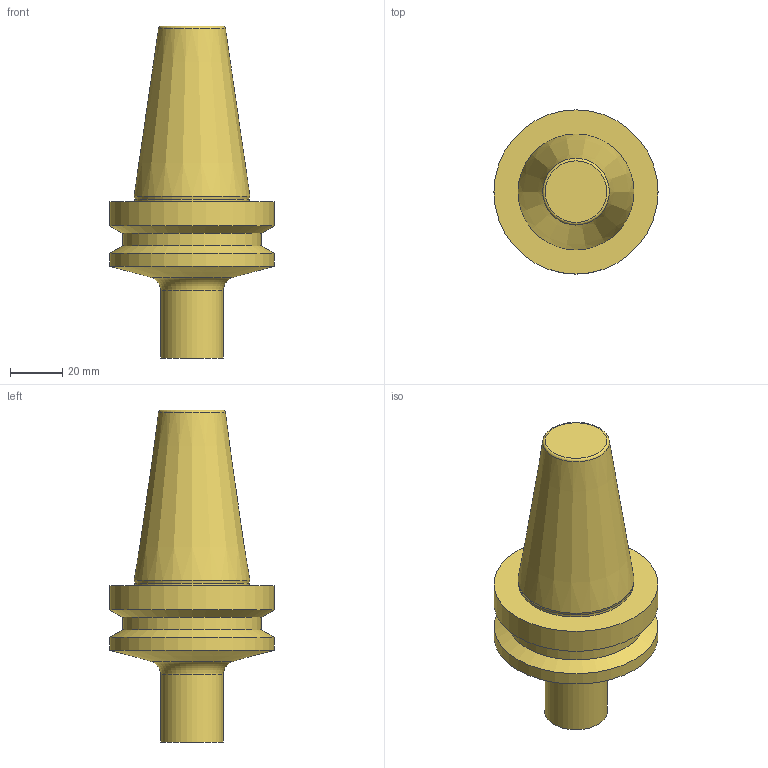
import cadquery as cq
import math


gauge_diameter = 44.45
taper_length = 65.4
taper_ratio = 7 / 24
taper_end_fillet = 1.0
undercut_diameter = 44.0
undercut_top_z = -1.0

flange_diameter = 63.0
flange_top_z = -2.0
flange_bottom_z = -26.8
groove_diameter = 53.0
groove_center_z = -16.6
groove_floor_width = 4.8
groove_wall_angle = 30

nose_diameter = 24.0
nose_end_z = -62.0
nose_fillet_radius = 5.5
nose_cone_angle = 15


def rise(run, angle):
    """Height gained along a slope over a horizontal run."""
    return run * math.tan(math.radians(angle))


def taper_radius(z):
    """Radius of the taper at a height above the gauge plane."""
    return (gauge_diameter - taper_ratio * z) / 2


def revolve(profile):
    """Full turn of a half profile about the Z axis."""
    return profile.revolve(360, (0, 0, 0), (0, 1, 0))


def make_body():
    """Taper with its rounded end, flange and nose cylinder, without the groove and the nose cone."""
    profile = (
        cq.Workplane("XZ")
        .moveTo(0, taper_length)
        .lineTo(taper_radius(taper_length), taper_length)
        .lineTo(gauge_diameter / 2, 0)
        .lineTo(undercut_diameter / 2, undercut_top_z)
        .lineTo(undercut_diameter / 2, flange_top_z)
        .lineTo(flange_diameter / 2, flange_top_z)
        .lineTo(flange_diameter / 2, flange_bottom_z)
        .lineTo(nose_diameter / 2, flange_bottom_z)
        .lineTo(nose_diameter / 2, nose_end_z)
        .lineTo(0, nose_end_z)
        .close()
    )
    return revolve(profile).faces(">Z").edges().fillet(taper_end_fillet)


def make_gripper_groove():
    """Ring of material removed by the V groove around the flange."""
    rim_radius = flange_diameter / 2
    floor_radius = groove_diameter / 2
    half_floor = groove_floor_width / 2
    half_opening = half_floor + rise(rim_radius - floor_radius, groove_wall_angle)
    profile = cq.Workplane("XZ").polyline([
        (floor_radius, groove_center_z + half_floor),
        (rim_radius, groove_center_z + half_opening),
        (rim_radius, groove_center_z - half_opening),
        (floor_radius, groove_center_z - half_floor),
    ]).close()
    return revolve(profile)


def make_nose_cone():
    """Shallow cone under the flange, blended into the nose by a tangent concave fillet."""
    rim_radius = flange_diameter / 2
    nose_radius = nose_diameter / 2
    cone_angle = math.radians(nose_cone_angle)

    def fillet_offset(angle):
        """Radial and vertical offset from the fillet center, angle measured from the inward direction."""
        return (-nose_fillet_radius * math.cos(angle), nose_fillet_radius * math.sin(angle))

    tangent_angle = math.pi / 2 - cone_angle
    tangent_dr, tangent_dz = fillet_offset(tangent_angle)
    middle_dr, middle_dz = fillet_offset(tangent_angle / 2)
    center_radius = nose_radius + nose_fillet_radius
    tangent_radius = center_radius + tangent_dr
    tangent_z = flange_bottom_z - rise(rim_radius - tangent_radius, nose_cone_angle)
    center_z = tangent_z - tangent_dz
    profile = (
        cq.Workplane("XZ")
        .moveTo(0, flange_bottom_z)
        .lineTo(rim_radius, flange_bottom_z)
        .lineTo(tangent_radius, tangent_z)
        .threePointArc((center_radius + middle_dr, center_z + middle_dz), (nose_radius, center_z))
        .lineTo(0, center_z)
        .close()
    )
    return revolve(profile)


result = make_body().cut(make_gripper_groove()).union(make_nose_cone())